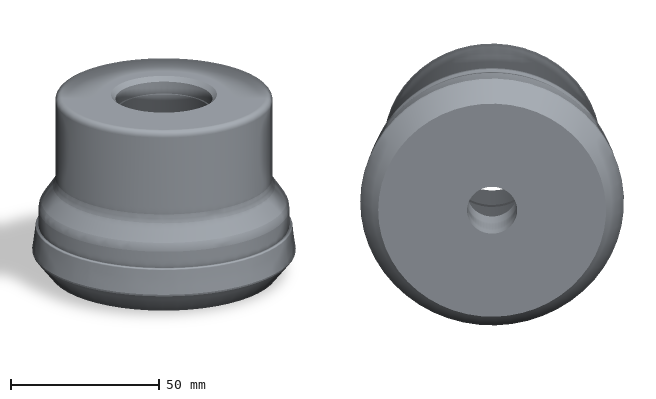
import cadquery as cq

TOTAL_HEIGHT = 63.5
OUTER_RADIUS = 44.4

BASE_HEIGHT = 16.8
BASE_TOP_RADIUS = 43.2
BASE_BOTTOM_RADIUS = 38.3
RIM_HEIGHT = 7.9
RIM_FLARE_SAG = 0.1
RIM_BEVEL_HEIGHT = 0.6
RIM_BEVEL_INSET = 0.2
BASE_TOP_ROUND = 0.5
HOLE_RADIUS = 8.4
HOLE_CHAMFER = 0.4

NECK_RADIUS = 36.6
SKIRT_RADIUS = 42.25
SHOULDER_TOP = 32.3
SHOULDER_BOTTOM = 24.1
SHOULDER_ROUND = 5.0
NECK_TOP_ROUND = 2.0

MOUTH_RADIUS = 16.3
MOUTH_CHAMFER = 1.5
MOUTH_DEPTH = 5.8
THROAT_RADIUS = 15.6
THROAT_END_DEPTH = 17.2
CHAMBER_RADIUS = MOUTH_RADIUS

EDGE_TOLERANCE = 0.01


class CircleAt(cq.Selector):
    """Selects the circular edge of a given radius at a given height."""

    def __init__(self, radius, height):
        self.radius = radius
        self.height = height

    def filter(self, edges):
        return [edge for edge in edges if edge.geomType() == "CIRCLE" and self.matches(edge)]

    def matches(self, circle):
        same_radius = abs(circle.radius() - self.radius) < EDGE_TOLERANCE
        same_height = abs(circle.Center().z - self.height) < EDGE_TOLERANCE
        return same_radius and same_height


def revolve_profile(profile):
    """Turn a closed profile of (radius, height) points about the Z axis."""
    return profile.close().revolve(360, (0, 0, 0), (0, 1, 0))


def make_base():
    """Disc with a hollow-flared rim, a conical underside and a through hole."""
    flare_middle = (
        (OUTER_RADIUS + BASE_TOP_RADIUS) / 2 - RIM_FLARE_SAG,
        (RIM_HEIGHT + BASE_HEIGHT) / 2,
    )
    profile = (
        cq.Workplane("XZ")
        .moveTo(HOLE_RADIUS, 0)
        .lineTo(BASE_BOTTOM_RADIUS, 0)
        .lineTo(OUTER_RADIUS - RIM_BEVEL_INSET, RIM_HEIGHT - RIM_BEVEL_HEIGHT)
        .lineTo(OUTER_RADIUS, RIM_HEIGHT)
        .threePointArc(flare_middle, (BASE_TOP_RADIUS, BASE_HEIGHT))
        .lineTo(HOLE_RADIUS, BASE_HEIGHT)
    )
    return (
        revolve_profile(profile)
        .edges(CircleAt(BASE_TOP_RADIUS, BASE_HEIGHT)).fillet(BASE_TOP_ROUND)
        .edges(CircleAt(HOLE_RADIUS, BASE_HEIGHT)).chamfer(HOLE_CHAMFER)
    )


def make_hub():
    """Stepped sleeve: rounded shoulder outside, throat between two recesses inside."""
    mouth_floor = TOTAL_HEIGHT - MOUTH_DEPTH
    throat_end = TOTAL_HEIGHT - THROAT_END_DEPTH
    profile = cq.Workplane("XZ").polyline([
        (CHAMBER_RADIUS, BASE_HEIGHT),
        (SKIRT_RADIUS, BASE_HEIGHT),
        (SKIRT_RADIUS, SHOULDER_BOTTOM),
        (NECK_RADIUS, SHOULDER_TOP),
        (NECK_RADIUS, TOTAL_HEIGHT),
        (MOUTH_RADIUS, TOTAL_HEIGHT),
        (MOUTH_RADIUS, mouth_floor),
        (THROAT_RADIUS, mouth_floor),
        (THROAT_RADIUS, throat_end),
        (CHAMBER_RADIUS, throat_end),
    ])
    return (
        revolve_profile(profile)
        .edges(CircleAt(SKIRT_RADIUS, SHOULDER_BOTTOM)).fillet(SHOULDER_ROUND)
        .edges(CircleAt(NECK_RADIUS, SHOULDER_TOP)).fillet(SHOULDER_ROUND)
        .edges(CircleAt(NECK_RADIUS, TOTAL_HEIGHT)).fillet(NECK_TOP_ROUND)
        .edges(CircleAt(MOUTH_RADIUS, TOTAL_HEIGHT)).chamfer(MOUTH_CHAMFER)
    )


base = make_base()
hub = make_hub()

result = cq.Compound.makeCompound([base.val(), hub.val()])